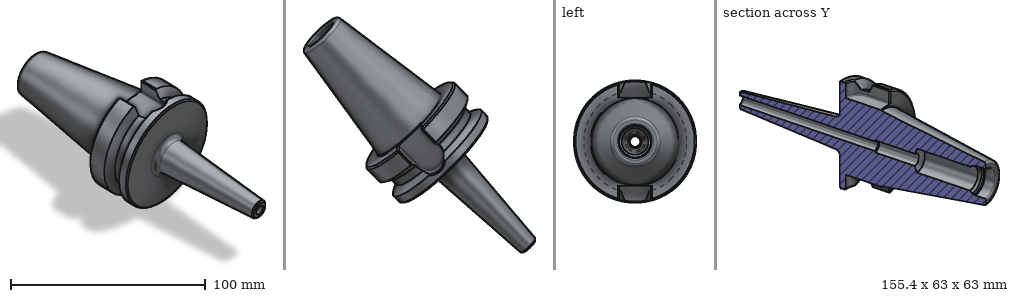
import cadquery as cq
import math


total_length = 155.4
taper_rate = 7 / 24
gauge_x = 65.9
gauge_radius = 22.2
taper_end_radius = gauge_radius - gauge_x * taper_rate / 2
taper_end_fillet = 1.7

flange_back_x = 66.4
flange_front_x = 92.3
flange_diameter = 63.0
flange_radius = flange_diameter / 2
flange_back_chamfer = 1.0
flange_front_chamfer = 0.8
flange_root_radius = 22.8

groove_radius = 26.4
groove_center_x = 81.9
groove_floor_half_width = 2.2
groove_flank_angle = 60
groove_flank_slope = math.tan(math.radians(groove_flank_angle))

nose_fillet = 3.0
nose_root_x = flange_front_x + nose_fillet
nose_root_radius = 9.6
nose_tip_radius = 5.3
nose_tip_chamfer = 0.8

slot_half_width = 8.1
slot_floor_z = 22.5
slot_end_x = 88.5
slot_floor_fillet = 0.5
slot_rim_chamfer = 0.8
slot_sides = (0, 180)

mouth_fillet = 1.0
pilot_radius = 8.5
pilot_depth = 6.8
relief_radius = 8.1
relief_end_x = 8.7
thread_radius = 6.8
thread_depth = 43.5
lead_in_half_angle = 40
coolant_radius = 3.4
coolant_depth = 70.0
through_radius = 2.6
drill_point_half_angle = 68


def revolve_about_x(half_profile):
    return half_profile.close().revolve(360, (0, 0, 0), (1, 0, 0))


def make_drive_slot_cutter():
    end_center_x = slot_end_x - slot_half_width
    return (
        cq.Workplane("XY", origin=(0, 0, slot_floor_z))
        .moveTo(gauge_x, -slot_half_width)
        .lineTo(end_center_x, -slot_half_width)
        .threePointArc((slot_end_x, 0), (end_center_x, slot_half_width))
        .lineTo(gauge_x, slot_half_width)
        .close()
        .extrude(flange_radius)
    )


def cut_drive_slots(body):
    cutter = make_drive_slot_cutter()
    for angle in slot_sides:
        body = body.cut(cutter.rotate((0, 0, 0), (1, 0, 0), angle))
    return body


def make_shank():
    blend_middle = ((gauge_x + 2 * flange_back_x) / 3, (2 * gauge_radius + flange_root_radius) / 3)
    outline = (
        cq.Workplane("XY")
        .lineTo(0, taper_end_radius)
        .lineTo(gauge_x, gauge_radius)
        .threePointArc(blend_middle, (flange_back_x, flange_root_radius))
        .lineTo(flange_back_x, 0)
    )
    shank = revolve_about_x(outline).faces("<X").edges().fillet(taper_end_fillet)
    return cut_drive_slots(shank)


def make_groove_cutter():
    overreach = 1.5
    top_radius = flange_radius + overreach
    top_half_width = groove_floor_half_width + (top_radius - groove_radius) / groove_flank_slope
    outline = (
        cq.Workplane("XY")
        .moveTo(groove_center_x - groove_floor_half_width, groove_radius)
        .lineTo(groove_center_x - top_half_width, top_radius)
        .lineTo(groove_center_x + top_half_width, top_radius)
        .lineTo(groove_center_x + groove_floor_half_width, groove_radius)
    )
    return revolve_about_x(outline)


def finish_slot_edges(flange):
    margin = 0.2
    for side in (1, -1):
        rim_zone = cq.selectors.BoxSelector(
            (flange_back_x - margin, -slot_half_width - margin, side * (slot_floor_z + margin)),
            (slot_end_x + margin, slot_half_width + margin, side * (flange_radius + margin)),
        )
        floor_zone = cq.selectors.BoxSelector(
            (flange_back_x + margin, -flange_radius, side * (slot_floor_z - margin)),
            (slot_end_x + margin, flange_radius, side * (slot_floor_z + margin)),
        )
        flange = flange.edges(rim_zone).edges("(not |Z) or <X").chamfer(slot_rim_chamfer)
        flange = flange.edges(floor_zone).fillet(slot_floor_fillet)
    return flange


def make_flange():
    outline = (
        cq.Workplane("XY")
        .moveTo(flange_back_x, 0)
        .lineTo(flange_back_x, flange_radius - flange_back_chamfer)
        .lineTo(flange_back_x + flange_back_chamfer, flange_radius)
        .lineTo(flange_front_x - flange_front_chamfer, flange_radius)
        .lineTo(flange_front_x, flange_radius - flange_front_chamfer)
        .lineTo(flange_front_x, 0)
    )
    flange = cut_drive_slots(revolve_about_x(outline))
    return finish_slot_edges(flange).cut(make_groove_cutter())


def make_nose():
    fillet_middle = nose_fillet * (1 - math.sqrt(0.5))
    outline = (
        cq.Workplane("XY")
        .moveTo(flange_front_x, 0)
        .lineTo(flange_front_x, nose_root_radius + nose_fillet)
        .threePointArc(
            (flange_front_x + fillet_middle, nose_root_radius + fillet_middle),
            (nose_root_x, nose_root_radius),
        )
        .lineTo(total_length - nose_tip_chamfer, nose_tip_radius)
        .lineTo(total_length, nose_tip_radius - nose_tip_chamfer)
        .lineTo(total_length, 0)
    )
    return revolve_about_x(outline)


def make_bore_cutter():
    point_slope = math.tan(math.radians(drill_point_half_angle))
    thread_point = (thread_radius - coolant_radius) / point_slope
    coolant_point = (coolant_radius - through_radius) / point_slope
    lead_in_length = (relief_radius - thread_radius) / math.tan(math.radians(lead_in_half_angle))
    relief_chamfer = pilot_radius - relief_radius
    mouth_middle = mouth_fillet * (1 - math.sqrt(0.5))
    outline = (
        cq.Workplane("XY")
        .lineTo(0, pilot_radius + mouth_fillet)
        .threePointArc((mouth_middle, pilot_radius + mouth_middle), (mouth_fillet, pilot_radius))
        .lineTo(pilot_depth, pilot_radius)
        .lineTo(pilot_depth + relief_chamfer, relief_radius)
        .lineTo(relief_end_x, relief_radius)
        .lineTo(relief_end_x + lead_in_length, thread_radius)
        .lineTo(thread_depth, thread_radius)
        .lineTo(thread_depth + thread_point, coolant_radius)
        .lineTo(coolant_depth, coolant_radius)
        .lineTo(coolant_depth + coolant_point, through_radius)
        .lineTo(total_length, through_radius)
        .lineTo(total_length, 0)
    )
    return revolve_about_x(outline)


holder = make_shank().union(make_flange()).union(make_nose())
result = holder.cut(make_bore_cutter())